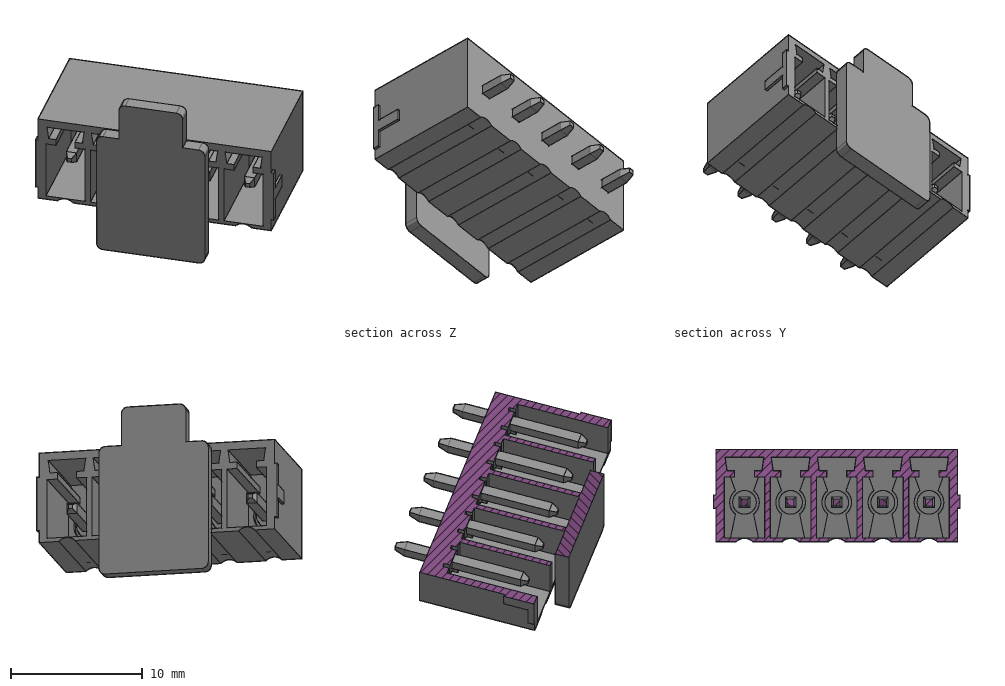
import cadquery as cq
import math


overall_width = 18.7
pole_count = 5
pole_pitch = 3.5
pole_height = 3.0

side_rib_projection = 0.19
housing_width = overall_width - 2 * side_rib_projection
housing_depth = 9.2
housing_height = 7.01
back_wall = 1.5

rib_center_height = 3.05
rib_bar_height = 4.17
rib_bar_depth = 0.49
rib_stem_height = 1.01
rib_stem_depth = 2.43

cell_floor = 0.3
chamber_width = 3.07
chamber_height = 4.6
neck_width = 1.5
neck_height = 0.5
dovetail_height = 1.0
dovetail_bottom_width = 2.64
dovetail_top_width = 2.92
cell_depth = housing_depth - back_wall

pad_thickness = 0.5
pad_gap_width = 2.11
pad_waist_width = 1.38
pad_clearance_diameter = 2.25
boss_diameter = 1.8
boss_height = 0.5

flute_diameter = 1.8
flute_rise = 0.26

pin_width = 0.8
pin_front_setback = 1.2
pin_rear_projection = 2.6
front_tip_width = 0.32
front_tip_length = 0.55
rear_tip_width = 0.41
rear_tip_length = 0.8

plate_thickness = 1.1
plate_width = 8.5
plate_height = 10.0
plate_top_drop = 0.07
tab_width = 5.01
tab_height = 3.0
plate_corner_radius = 0.5

pole_positions = [(i - (pole_count - 1) / 2) * pole_pitch for i in range(pole_count)]


def plane_at(y):
    """Plane across the Y axis at y: local x is X, local y is Z, and the normal points to -Y."""
    return cq.Workplane("XZ", origin=(0, y, 0))


def make_cell(x):
    """Cavity of one pole, opening at the front face."""
    chamber_top = cell_floor + chamber_height
    neck_top = chamber_top + neck_height
    dovetail_top = neck_top + dovetail_height
    right_side = [
        (chamber_width / 2, cell_floor),
        (chamber_width / 2, chamber_top),
        (neck_width / 2, chamber_top),
        (neck_width / 2, neck_top),
        (dovetail_bottom_width / 2, neck_top),
        (dovetail_top_width / 2, dovetail_top),
    ]
    left_side = [(-px, pz) for px, pz in reversed(right_side)]
    outline = [(x + px, pz) for px, pz in right_side + left_side]
    return plane_at(0).polyline(outline).close().extrude(-cell_depth)


def make_end_relief(x):
    """Two side pads and a round boss on the inner end wall of one cell."""
    waist = pad_waist_width / 2
    clearance_radius = pad_clearance_diameter / 2
    waist_rise = math.sqrt(clearance_radius**2 - waist**2)
    chamber_top = cell_floor + chamber_height
    end_wall = plane_at(cell_depth)

    relief = end_wall.center(x, pole_height).circle(boss_diameter / 2).extrude(boss_height)
    for side in (-1, 1):
        wall_x = x + side * chamber_width / 2
        gap_x = x + side * pad_gap_width / 2
        waist_x = x + side * waist
        pad = (
            end_wall.moveTo(wall_x, cell_floor)
            .lineTo(gap_x, cell_floor)
            .lineTo(waist_x, pole_height - waist_rise)
            .threePointArc((x + side * clearance_radius, pole_height), (waist_x, pole_height + waist_rise))
            .lineTo(gap_x, chamber_top)
            .lineTo(wall_x, chamber_top)
            .close()
            .extrude(pad_thickness)
        )
        relief = relief.add(pad)
    return relief.combine()


def make_flute(x):
    """Round-topped groove running the full depth of the underside."""
    flute_center = flute_rise - flute_diameter / 2
    return plane_at(0).center(x, flute_center).circle(flute_diameter / 2).extrude(-housing_depth)


def make_side_ribs():
    """T-shaped ribs, spanning the full width so that they project from both side walls."""
    bar = cq.Workplane("XY").box(overall_width, rib_bar_depth, rib_bar_height, centered=(True, False, True))
    stem = cq.Workplane("XY").box(overall_width, rib_stem_depth, rib_stem_height, centered=(True, False, True))
    return bar.union(stem).translate((0, 0, rib_center_height))


def make_pin(x):
    """Straight square contact with a tapered tip at each end."""
    front_end = pin_front_setback
    rear_end = housing_depth + pin_rear_projection
    shank_front = front_end + front_tip_length
    shank_rear = rear_end - rear_tip_length

    def section(y, width):
        return plane_at(y).center(x, pole_height).rect(width, width)

    shank = section(shank_rear, pin_width).extrude(shank_rear - shank_front)
    front_tip = (
        section(shank_front, pin_width).workplane(offset=front_tip_length)
        .rect(front_tip_width, front_tip_width).loft()
    )
    rear_tip = (
        section(shank_rear, pin_width).workplane(offset=-rear_tip_length)
        .rect(rear_tip_width, rear_tip_width).loft()
    )
    return shank.union(front_tip).union(rear_tip)


def make_housing(pins):
    """Shell with ribs, cells and flutes, and a matching square hole for every pin."""
    housing = cq.Workplane("XY").box(
        housing_width, housing_depth, housing_height, centered=(True, False, False)
    ).union(make_side_ribs())
    for x, pin in zip(pole_positions, pins):
        housing = housing.cut(make_cell(x)).union(make_end_relief(x)).cut(make_flute(x)).cut(pin)
    return housing


def make_plate():
    """Flat plate with a narrower tab on top and rounded outer corners."""
    shoulder = housing_height - plate_top_drop
    plate = (
        plane_at(0).center(0, shoulder - plate_height / 2).rect(plate_width, plate_height)
        .extrude(plate_thickness).edges("|Y").fillet(plate_corner_radius)
    )
    tab = (
        plane_at(0).center(0, shoulder + tab_height / 2).rect(tab_width, tab_height)
        .extrude(plate_thickness).edges("|Y and >Z").fillet(plate_corner_radius)
    )
    return plate.union(tab)


pins = [make_pin(x) for x in pole_positions]
housing = make_housing(pins)
plate = make_plate()

result = cq.Compound.makeCompound([housing.val(), plate.val(), *[pin.val() for pin in pins]])